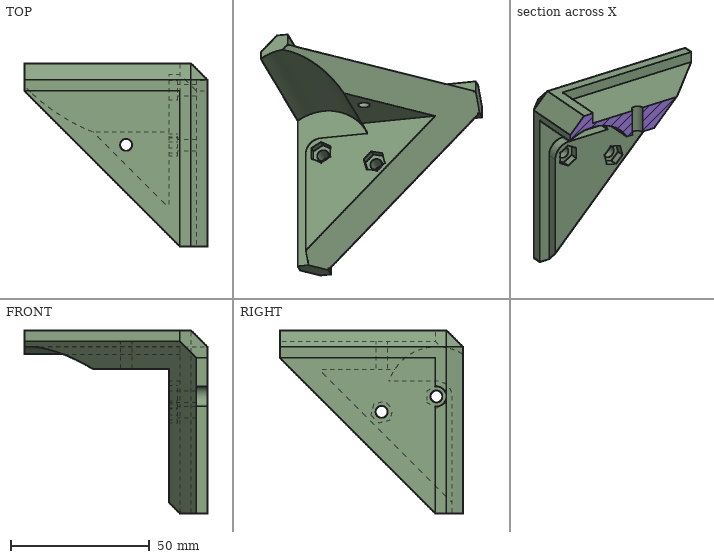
import cadquery as cq
import math

size = 66.0
rim_width = 9.95
tray_depth = 4.0
edge_chamfer = 6.0
rim_inner = size - rim_width
tray_floor = size - tray_depth
plate_inner = rim_inner - tray_depth
open_end = -size

hole_diameter = 4.2
head_diameter = 7.2
nut_flats = 7.05
nut_depth = 3.0
nut_tilt = -15.0
plate_hole = 36.6
pivot_y = 56.35
pivot_z = 42.2

swing_radius = 18.0
pad_radius = tray_floor - pivot_y
pad_top = pivot_z + pad_radius


def box(low, high):
    """Axis-aligned box between two opposite corners."""
    lengths = [b - a for a, b in zip(low, high)]
    return cq.Workplane("XY").box(*lengths, centered=False).translate(low)


def x_cylinder(diameter, y, z, x_start, x_end):
    """Cylinder along X."""
    plane = cq.Workplane("YZ", origin=(x_start, y, z))
    return plane.circle(diameter / 2).extrude(x_end - x_start)


def corner_block():
    """Chamfered cube with its open corner cut off by a plane of constant x + y + z."""
    block = box((0, 0, 0), (size, size, size))
    outer_edges = block.edges("(>X and >Y) or (>X and >Z) or (>Y and >Z)")
    block = outer_edges.chamfer(edge_chamfer)
    plane_distance = (rim_inner + tray_floor) / math.sqrt(3)
    normal = cq.Vector(1, 1, 1).normalized()
    plane = cq.Plane(origin=normal * plane_distance, xDir=(1, -1, 0), normal=normal)
    removed = cq.Workplane(plane).rect(6 * size, 6 * size).extrude(-3 * size)
    return block.cut(removed)


def trays():
    """Recesses in the three outer faces, leaving a rim along the shared edges."""
    cuts = cq.Workplane("XY")
    for axis in range(3):
        low = [open_end] * 3
        high = [rim_inner] * 3
        low[axis] = tray_floor
        high[axis] = size
        cuts = cuts.add(box(tuple(low), tuple(high)))
    return cuts.combine()


def inner_cavity():
    """Space below the top plate and beside the X plate, open through the Y side."""
    low = (open_end, open_end, open_end)
    below_top_plate = box(low, (plate_inner, plate_inner, plate_inner))
    behind = box(low, (plate_inner, tray_floor, pad_top))
    return below_top_plate.union(behind)


def swing_clearance():
    """Round sweep about the pivot, sparing the raised pad on the X plate."""
    sweep = x_cylinder(2 * swing_radius, pivot_y, pivot_z, open_end, rim_inner)
    pad = box((plate_inner, open_end, open_end), (size, tray_floor, pad_top))
    pad = pad.edges(">Y and >Z").fillet(pad_radius)
    return sweep.cut(pad)


def nut_pocket(y, z, tilt):
    """Hexagonal pocket in the inner face of the X plate, one corner up when tilt is zero."""
    circumdiameter = nut_flats / math.cos(math.pi / 6)
    pocket = cq.Workplane("YZ").polygon(6, circumdiameter).extrude(nut_depth)
    pocket = pocket.rotate((0, 0, 0), (1, 0, 0), 90 + tilt)
    return pocket.translate((plate_inner, y, z))


result = corner_block().cut(trays()).cut(inner_cavity()).cut(swing_clearance())

for y, z, tilt in ((pivot_y, pivot_z, 0), (plate_hole, plate_hole, nut_tilt)):
    result = result.cut(x_cylinder(hole_diameter, y, z, 0, size))
    result = result.cut(nut_pocket(y, z, tilt))

result = result.cut(x_cylinder(head_diameter, pivot_y, pivot_z, tray_floor, size))

top_hole = cq.Workplane("XY").center(plate_hole, plate_hole).circle(hole_diameter / 2).extrude(size)
result = result.cut(top_hole)